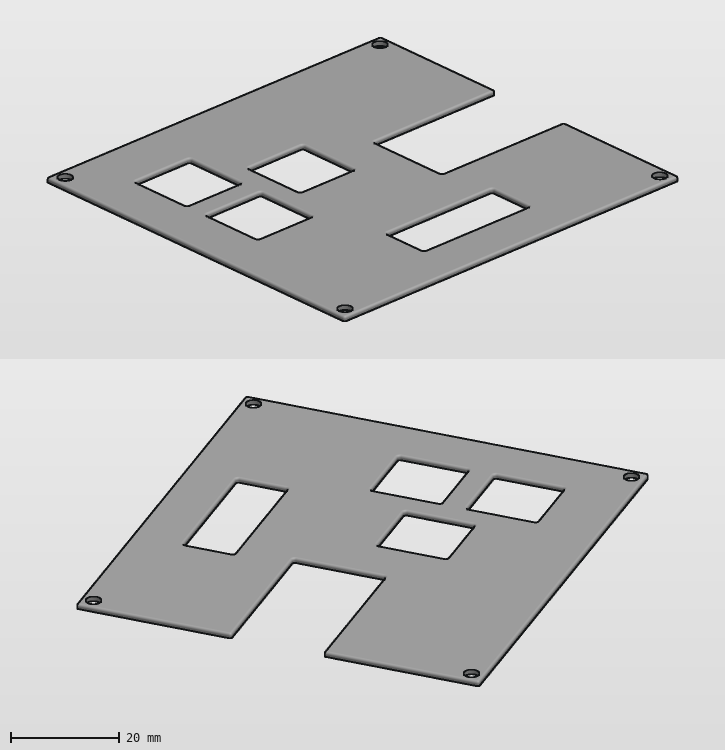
import cadquery as cq

plate_width = 80.0
plate_length = 85.0
plate_thickness = 1.0
edge_radius = 0.5

hole_diameter = 2.9
hole_inset = 2.5

notch_width = 18.4
notch_depth = 31.0

square_size = 14.0
square_pitch = 19.0
lower_left_x = -20.6
lower_row_y = -24.8
upper_square_x = -10.3
square_centres = [
    (lower_left_x, lower_row_y),
    (lower_left_x + square_pitch, lower_row_y),
    (upper_square_x, lower_row_y + square_pitch),
]

tall_window_width = 10.2
tall_window_length = 27.0
tall_window_centre = (25.0, 0.6)


def cutter(width, length, centre):
    """Box through the plate with its middle at the given X, Y point."""
    return (
        cq.Workplane("XY")
        .center(*centre)
        .rect(width, length)
        .extrude(plate_thickness)
    )


def plate_with_openings():
    """Sharp-edged plate with the notch and all windows cut through."""
    plate = cutter(plate_width, plate_length, (0, 0))
    notch_centre = (0, (plate_length - notch_depth) / 2)
    plate = plate.cut(cutter(notch_width, notch_depth, notch_centre))
    plate = plate.cut(cutter(tall_window_width, tall_window_length, tall_window_centre))
    for centre in square_centres:
        plate = plate.cut(cutter(square_size, square_size, centre))
    return plate


def round_edges(plate):
    """Round every upright corner and the upper rims; the underside stays sharp."""
    return plate.edges("|Z or >Z").fillet(edge_radius)


def drill_corner_holes(plate):
    """Drill the screw holes after rounding, so their rims stay sharp."""
    spacing_x = plate_width - 2 * hole_inset
    spacing_y = plate_length - 2 * hole_inset
    holes = (
        cq.Workplane("XY")
        .rect(spacing_x, spacing_y, forConstruction=True)
        .vertices()
        .circle(hole_diameter / 2)
        .extrude(plate_thickness)
    )
    return plate.cut(holes)


result = drill_corner_holes(round_edges(plate_with_openings()))